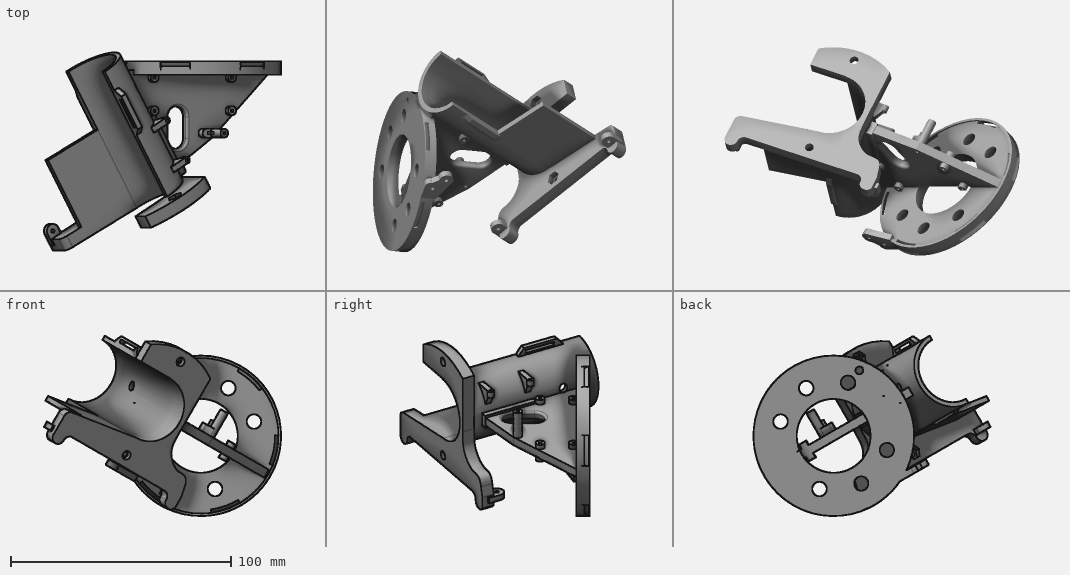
import cadquery as cq
import math

TILT = 30.0
TUBE_ANGLE = 30.0

RING_R = 36.5
RING_BORE_D = 33.5
PLATE_T = 5.5
RIM_H = 0.75
RIM_W = 1.2
RIM_END_X = -30.4
BOLT_D = 6.5
BOLT_CIRCLE_R = 25.0
BOLT_ANGLES = (45, 90, 135, -45, -90, -135)
SIDE_HOLE_D = 3.5
SIDE_HOLE_XZ = (-24.9, 19.9)
CLIP_FIRST_ANGLE = 19.0
CLIP_COUNT = 6
CLIP_SPAN = 22.5
CLIP_NEAR_Y = 0.5
CLIP_FAR_Y = 2.4
CLIP_INNER_R = 33.7

BORE_R = 15.4
TUBE_R = 17.6
TUBE_P = -54.75
TUBE_START_Q = -26.1
FLANGE_T = 6.0
FLANGE_FRONT_Q = 45.4
FLANGE_BACK_Q = FLANGE_FRONT_Q - FLANGE_T
PIN_HOLE_D = 4.0
PIN_HOLE_W = 3.9
PIN_HOLE_Q = -7.9

LEDGE_W = 27.6
LEDGE_T = 2.5
LEDGE_DROP = 3.6
LEDGE_START_Q = 4.4

CHANNEL_HALF_W = 15.6
FLANGE_TOP_W = 24.6
FLANGE_HALF_WIDTH = 18.0
FLANGE_CROWN_W = 29.7
FLANGE_BOTTOM_W = -29.8
LOBE_END_W = -36.0
LOBE_LEFT_P = -93.4
LOBE_RIGHT_P = -19.0
LOBE_WIDTH = 6.2
LOBE_TIP_R = 3.0
LOBE_CHAMFER = 1.5
WAIST_TOP_W = -3.0
WAIST_CURVE = [(-34.9, -13.6), (-27.6, -18.9), (-20.2, -23.6)]
LOBE_SHOULDER_W = -28.5
SCREW_W = 24.5
SCREW_D = 4.0
NUT_D = 6.8
NUT_DEPTH = 3.0
EYE_R = 3.2
EYE_T = 2.8
EYE_HOLE_D = 1.6
EYE_Q = 36.5
EYE_TOP_W = -29.3
EYE_PS = (-91.0, -21.0)

LOOP_T = 2.6
LOOP_W = 21.2
PAD_W = 18.9
LOOP_BASE_Q = (-16.2, 7.2)
LOOP_TOP_Q = (-13.0, 4.3)
LOOP_SLOT_Q = (-11.5, 3.4)
LOOP_SLOT_W = (18.3, 19.8)

ARM_QS = (10.3, 31.1)
ARM_EYE_P = -36.1
ARM_EYE_D = 3.1
ARM_EYE_HOLE_D = 1.3
ARM_TOP_W = 14.6
ARM_EYE_T = 3.0
ARM_WIDTH = 2.8
ARM_FOOT_P = -38.5
ARM_FOOT_W = 6.6

WEB_T = 4.2
WEB_TIP = (34.5, -PLATE_T)
WEB_KNEE = (4.9, -34.7)
WEB_END_Q = 34.9
RIB_END_P = -34.6
RIB_HALF_T = 3.2
RIB_START_Q = 8.0
WEB_BACK_Q = -17.0
SLOT_X = -13.4
SLOT_END_YS = (-25.2, -35.1)
SLOT_R = 4.7
SLOT_ROUND = 1.2
BOSS_D = 4.2
BOSS_H = 2.3
BOSS_HOLE_D = 1.3
BOSS_XS = (-26.7, 13.9)
BOSS_YS = (-7.4, -22.5)
POST_XY = (3.7, -32.7)
POST_D = 4.0
POST_TOP_W = 15.0
POST_FOOT_X = -0.4
POST_FOOT_TOP_W = 5.8
POST_NUB_X = 0.9
POST_NUB_WIDTH = 1.2
POST_NUB_TOP_W = 8.7

FOOT_BOTTOM_W = -33.0
FOOT_T = 3.0
FOOT_SIDE_Y = -7.3
FOOT_EYE_XY = (-27.6, -8.75)
FOOT_EYE_R = 3.3
FOOT_HOLE_D = 1.6
FOOT_END_XY = (-23.0, -2.4)
FOOT_END_R = 2.4
FOOT_HOLE_XY = (-21.8, -3.9)

COS = math.cos(math.radians(TUBE_ANGLE))
SIN = math.sin(math.radians(TUBE_ANGLE))
P_DIR = cq.Vector(COS, SIN, 0)
Q_DIR = cq.Vector(SIN, -COS, 0)
W_DIR = cq.Vector(0, 0, 1)
LOOP_PLANE = cq.Plane(P_DIR * TUBE_P, Q_DIR * -1, P_DIR)


def tube_point(p, q, w=0.0):
    return P_DIR * p + Q_DIR * q + W_DIR * w


def section(q):
    """Workplane across the tube at q, with p and w as its axes."""
    return cq.Workplane(cq.Plane(Q_DIR * q, P_DIR, Q_DIR))


def level(w):
    """Workplane parallel to the web at height w."""
    return cq.Workplane("XY", origin=(0, 0, w))


def ring_face(y):
    """Workplane facing -Y, with X and Z as its axes."""
    return cq.Workplane(cq.Plane((0, y, 0), (1, 0, 0), (0, -1, 0)))


def peg(x, y, diameter, low, high):
    return level(low).center(x, y).circle(diameter / 2).extrude(high - low)


def bar(start, end, width, low, high):
    """Round-ended bar from start to end in the web plane, between two heights."""
    mid_x = (start[0] + end[0]) / 2
    mid_y = (start[1] + end[1]) / 2
    dx = end[0] - start[0]
    dy = end[1] - start[1]
    angle = math.degrees(math.atan2(dy, dx))
    length = math.hypot(dx, dy) + width
    return level(low).center(mid_x, mid_y).slot2D(length, width, angle).extrude(high - low)


def ring():
    plate = ring_face(0).circle(RING_R).extrude(PLATE_T)
    rim = ring_face(-PLATE_T).circle(RING_R).circle(RING_R - RIM_W).extrude(RIM_H)
    span = 4 * RING_R
    keep = cq.Workplane("XY").box(span, span, span).translate((RIM_END_X + span / 2, 0, 0))
    rim = rim.intersect(keep.rotate((0, 0, 0), (0, 1, 0), -TILT))
    return plate.union(rim)


def ring_cuts():
    depth = PLATE_T + RIM_H
    cuts = ring_face(0).circle(RING_BORE_D / 2).extrude(depth)
    bolts = [
        (BOLT_CIRCLE_R * math.cos(math.radians(a)), BOLT_CIRCLE_R * math.sin(math.radians(a)))
        for a in BOLT_ANGLES
    ]
    cuts = cuts.union(ring_face(0).pushPoints(bolts).circle(BOLT_D / 2).extrude(depth))
    return cuts.union(ring_face(0).center(*SIDE_HOLE_XZ).circle(SIDE_HOLE_D / 2).extrude(depth))


def clip_slots():
    """Sloping slots from the floor inside the rim out through the edge of the plate."""
    outside = RING_R + RIM_W
    floor_r = RING_R - RIM_W
    outline = [
        (CLIP_INNER_R, -PLATE_T),
        (floor_r, -PLATE_T),
        (RING_R, -CLIP_FAR_Y),
        (outside, -CLIP_FAR_Y),
        (outside, -CLIP_NEAR_Y),
        (RING_R, -CLIP_NEAR_Y),
    ]
    sector = cq.Workplane("XY").polyline(outline).close().revolve(CLIP_SPAN, (0, 0, 0), (0, 1, 0))
    sector = sector.rotate((0, 0, 0), (0, 1, 0), -CLIP_SPAN / 2)
    angles = [CLIP_FIRST_ANGLE + i * 360 / CLIP_COUNT for i in range(CLIP_COUNT)]
    return [sector.rotate((0, 0, 0), (0, 1, 0), -angle) for angle in angles]


def tube():
    """Half tube, open toward -p."""
    return (
        section(TUBE_START_Q)
        .moveTo(TUBE_P, -TUBE_R)
        .threePointArc((TUBE_P + TUBE_R, 0), (TUBE_P, TUBE_R))
        .close()
        .extrude(FLANGE_FRONT_Q - TUBE_START_Q)
    )


def bore():
    """Round bore that runs out straight through the open side of the tube."""
    open_side = TUBE_P - 2 * TUBE_R
    return (
        section(TUBE_START_Q)
        .moveTo(TUBE_P, -BORE_R)
        .threePointArc((TUBE_P + BORE_R, 0), (TUBE_P, BORE_R))
        .lineTo(open_side - BORE_R, BORE_R)
        .lineTo(open_side - BORE_R, -BORE_R)
        .close()
        .extrude(FLANGE_FRONT_Q - TUBE_START_Q)
    )


def ledge():
    return (
        section(LEDGE_START_Q)
        .moveTo(TUBE_P - LEDGE_W, -BORE_R - LEDGE_DROP)
        .lineTo(TUBE_P, -BORE_R)
        .lineTo(TUBE_P, -BORE_R - LEDGE_T)
        .lineTo(TUBE_P - LEDGE_W, -BORE_R - LEDGE_DROP - LEDGE_T)
        .close()
        .extrude(FLANGE_BACK_Q - LEDGE_START_Q)
    )


def flange():
    right_p = TUBE_P + FLANGE_HALF_WIDTH
    left_p = TUBE_P - FLANGE_HALF_WIDTH
    left_root = LOBE_LEFT_P + LOBE_WIDTH
    right_root = LOBE_RIGHT_P - LOBE_WIDTH
    shoulder = LOBE_TIP_R
    tip_w = LOBE_END_W + LOBE_TIP_R
    root_w = FLANGE_BOTTOM_W - shoulder
    corner = LOBE_TIP_R * (1 - math.sqrt(0.5))
    corner_w = FLANGE_BOTTOM_W - corner
    top_slope = LEDGE_DROP / LEDGE_W
    lobe_top_w = -BORE_R - (TUBE_P - LOBE_LEFT_P - shoulder) * top_slope
    return (
        section(FLANGE_BACK_Q)
        .moveTo(left_p, FLANGE_TOP_W)
        .threePointArc((TUBE_P, FLANGE_CROWN_W), (right_p, FLANGE_TOP_W))
        .lineTo(right_p, WAIST_TOP_W)
        .spline(WAIST_CURVE, tangents=[(0, -1), (0.2, -1)], includeCurrent=True)
        .lineTo(LOBE_RIGHT_P, LOBE_SHOULDER_W)
        .lineTo(LOBE_RIGHT_P, LOBE_END_W + LOBE_CHAMFER)
        .lineTo(LOBE_RIGHT_P - LOBE_CHAMFER, LOBE_END_W)
        .lineTo(right_root + LOBE_TIP_R, LOBE_END_W)
        .threePointArc((right_root + corner, LOBE_END_W + corner), (right_root, tip_w))
        .threePointArc((right_root - corner, corner_w), (right_root - shoulder, FLANGE_BOTTOM_W))
        .lineTo(left_root + shoulder, FLANGE_BOTTOM_W)
        .threePointArc((left_root + corner, corner_w), (left_root, root_w))
        .threePointArc((LOBE_LEFT_P + LOBE_WIDTH / 2, LOBE_END_W), (LOBE_LEFT_P, root_w))
        .lineTo(LOBE_LEFT_P, lobe_top_w - shoulder)
        .threePointArc((LOBE_LEFT_P + corner, lobe_top_w - corner), (LOBE_LEFT_P + shoulder, lobe_top_w))
        .lineTo(TUBE_P, -BORE_R)
        .lineTo(TUBE_P, CHANNEL_HALF_W)
        .lineTo(left_p, CHANNEL_HALF_W)
        .close()
        .extrude(FLANGE_T)
    )


def flange_cuts():
    spots = [(TUBE_P, SCREW_W), (TUBE_P, -SCREW_W)]
    holes = section(FLANGE_BACK_Q).pushPoints(spots).circle(SCREW_D / 2).extrude(FLANGE_T)
    return holes.union(section(FLANGE_BACK_Q).pushPoints(spots).polygon(6, NUT_D).extrude(NUT_DEPTH))


def flange_eye(p):
    """Pierced tab standing on the back of a flange lobe; its root is sunk halfway into the flange."""
    centre = tube_point(p, EYE_Q)
    low = EYE_TOP_W - EYE_T
    root_length = FLANGE_BACK_Q + FLANGE_T / 2 - EYE_Q
    root = (
        section(EYE_Q)
        .center(p, EYE_TOP_W - EYE_T / 2)
        .rect(2 * EYE_R, EYE_T)
        .extrude(root_length)
    )
    eye = root.union(peg(centre.x, centre.y, 2 * EYE_R, low, EYE_TOP_W))
    return eye.cut(peg(centre.x, centre.y, EYE_HOLE_D, low, EYE_TOP_W))


def edge_pad(height):
    """Trapezoidal pad on the upper edge of the tube, rising to the given height."""
    base_w = (BORE_R + TUBE_R) / 2
    return (
        cq.Workplane(LOOP_PLANE)
        .polyline([
            (-LOOP_BASE_Q[0], base_w),
            (-LOOP_BASE_Q[0], TUBE_R),
            (-LOOP_TOP_Q[0], height),
            (-LOOP_TOP_Q[1], height),
            (-LOOP_BASE_Q[1], TUBE_R),
            (-LOOP_BASE_Q[1], base_w),
        ])
        .close()
        .extrude(LOOP_T)
    )


def strap_loop():
    middle = (-sum(LOOP_SLOT_Q) / 2, sum(LOOP_SLOT_W) / 2)
    length = LOOP_SLOT_Q[1] - LOOP_SLOT_Q[0]
    height = LOOP_SLOT_W[1] - LOOP_SLOT_W[0]
    slot = cq.Workplane(LOOP_PLANE).center(*middle).rect(length, height).extrude(LOOP_T)
    return edge_pad(LOOP_W).cut(slot)


def tube_arm(q):
    """Gusseted arm standing out of the tube, with a pierced round end."""
    eye = tube_point(ARM_EYE_P, q)
    low = ARM_TOP_W - ARM_EYE_T
    root_p = TUBE_P + BORE_R / 2
    arm = (
        section(q - ARM_WIDTH / 2)
        .polyline([(root_p, ARM_TOP_W), (ARM_EYE_P, ARM_TOP_W), (ARM_EYE_P, low), (ARM_FOOT_P, ARM_FOOT_W)])
        .close()
        .extrude(ARM_WIDTH)
    )
    arm = arm.union(peg(eye.x, eye.y, ARM_EYE_D, low, ARM_TOP_W))
    return arm.cut(peg(eye.x, eye.y, ARM_EYE_HOLE_D, low, ARM_TOP_W)).cut(bore())


def web():
    """Triangular web from the ring to the tube, with a round-edged slot and a thicker strip at the tube."""
    inside_p = TUBE_P + (BORE_R + TUBE_R) / 2
    inside_ring_y = -PLATE_T / 2
    root = tube_point(inside_p, WEB_END_Q)
    back = tube_point(inside_p, WEB_BACK_Q)
    ring_left = (RING_BORE_D / 2 - RING_R, inside_ring_y)
    ring_right = (WEB_TIP[0], inside_ring_y)
    plate = (
        level(-WEB_T / 2)
        .polyline([WEB_TIP, WEB_KNEE, (root.x, root.y), (back.x, back.y), ring_left, ring_right])
        .close()
        .extrude(WEB_T)
    )
    rib = (
        section(RIB_START_Q)
        .center((inside_p + RIB_END_P) / 2, 0)
        .rect(RIB_END_P - inside_p, 2 * RIB_HALF_T)
        .extrude(WEB_END_Q - RIB_START_Q)
    )
    slot_ends = [(SLOT_X, y) for y in SLOT_END_YS]
    plate = plate.cut(bar(*slot_ends, 2 * SLOT_R, -WEB_T / 2, WEB_T / 2))
    reach = SLOT_R + 0.1
    slot_edges = cq.selectors.BoxSelector(
        (SLOT_X - reach, SLOT_END_YS[1] - reach, -WEB_T),
        (SLOT_X + reach, SLOT_END_YS[0] + reach, WEB_T),
    )
    return plate.edges(slot_edges).edges("not |Z").fillet(SLOT_ROUND).union(rib)


def post():
    x, y = POST_XY
    base = -WEB_T / 2
    body = peg(x, y, POST_D, base, POST_TOP_W)
    body = body.union(bar((POST_FOOT_X, y), POST_XY, POST_D, base, POST_FOOT_TOP_W))
    nub_left = POST_NUB_X - POST_NUB_WIDTH / 2
    nub = level(base).center((nub_left + x) / 2, y).rect(x - nub_left, POST_NUB_WIDTH)
    body = body.union(nub.extrude(POST_NUB_TOP_W - base))
    return body.cut(peg(x, y, BOSS_HOLE_D, base, POST_TOP_W))


def add_bosses(body):
    """Pierced bosses standing out of both faces of the web."""
    high = WEB_T / 2 + BOSS_H
    for x in BOSS_XS:
        for y in BOSS_YS:
            body = body.union(peg(x, y, BOSS_D, -high, high))
            body = body.cut(peg(x, y, BOSS_HOLE_D, -high, high))
    return body


def pin_hole():
    start = tube_point(TUBE_P, PIN_HOLE_Q, PIN_HOLE_W)
    return cq.Workplane(cq.Plane(start, Q_DIR, P_DIR)).circle(PIN_HOLE_D / 2).extrude(TUBE_R)


def foot():
    bottom = FOOT_BOTTOM_W
    top = bottom + FOOT_T
    base_x = -math.sqrt(RING_R**2 - FOOT_BOTTOM_W**2)
    plate = (
        level(bottom)
        .polyline([
            (base_x, 0),
            (FOOT_END_XY[0], 0),
            (FOOT_EYE_XY[0], FOOT_EYE_XY[1] + FOOT_EYE_R),
            FOOT_EYE_XY,
            (FOOT_EYE_XY[0], FOOT_EYE_XY[1] - FOOT_EYE_R),
            (base_x, FOOT_SIDE_Y),
        ])
        .close()
        .extrude(FOOT_T)
    )
    plate = plate.union(peg(*FOOT_EYE_XY, 2 * FOOT_EYE_R, bottom, top))
    plate = plate.union(peg(*FOOT_END_XY, 2 * FOOT_END_R, bottom, top))
    plate = plate.cut(peg(*FOOT_EYE_XY, FOOT_HOLE_D, bottom, top))
    return plate.cut(peg(*FOOT_HOLE_XY, FOOT_HOLE_D, bottom, top))


body = ring().union(web()).union(tube()).union(flange())
body = body.cut(bore()).union(ledge())
body = body.union(strap_loop()).union(edge_pad(PAD_W).mirror("XY"))
for arm_q in ARM_QS:
    body = body.union(tube_arm(arm_q))
for eye_p in EYE_PS:
    body = body.union(flange_eye(eye_p))
body = add_bosses(body.union(foot()))
body = body.cut(peg(*POST_XY, POST_D, -WEB_T / 2, WEB_T / 2)).union(post())
for clip in clip_slots():
    body = body.cut(clip)
body = body.cut(ring_cuts()).cut(flange_cuts()).cut(pin_hole())

result = body.rotate((0, 0, 0), (0, 1, 0), TILT)